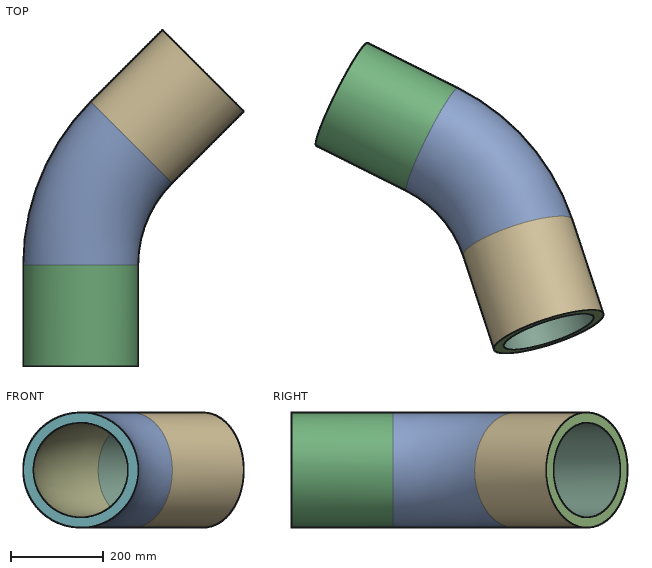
import cadquery as cq
import math

overall_length = 729.0
outer_diameter = 250.0
wall = 22.5
bend_angle = 45.0

outer_radius = outer_diameter / 2
bore_radius = outer_radius - wall
bend_radius = 1.5 * outer_diameter

bend_sin = math.sin(math.radians(bend_angle))
bend_cos = math.cos(math.radians(bend_angle))
bend_reach = (bend_radius + outer_radius) * bend_sin
straight_length = (overall_length - bend_reach) / (1 + bend_cos)


def pipe_section(plane):
    """Sketch the annular pipe section on a plane."""
    return cq.Workplane(plane).circle(outer_radius).circle(bore_radius)


start_plane = cq.Plane(origin=(0, 0, 0), xDir=(1, 0, 0), normal=(0, 1, 0))
end_plane = cq.Plane(
    origin=(bend_radius * (1 - bend_cos), bend_radius * bend_sin, 0),
    xDir=(bend_cos, -bend_sin, 0),
    normal=(bend_sin, bend_cos, 0),
)

bend = pipe_section(start_plane).revolve(bend_angle, (bend_radius, 0), (bend_radius, 1))
inlet = pipe_section(start_plane).extrude(-straight_length)
outlet = pipe_section(end_plane).extrude(straight_length)

result = bend.union(inlet).union(outlet)